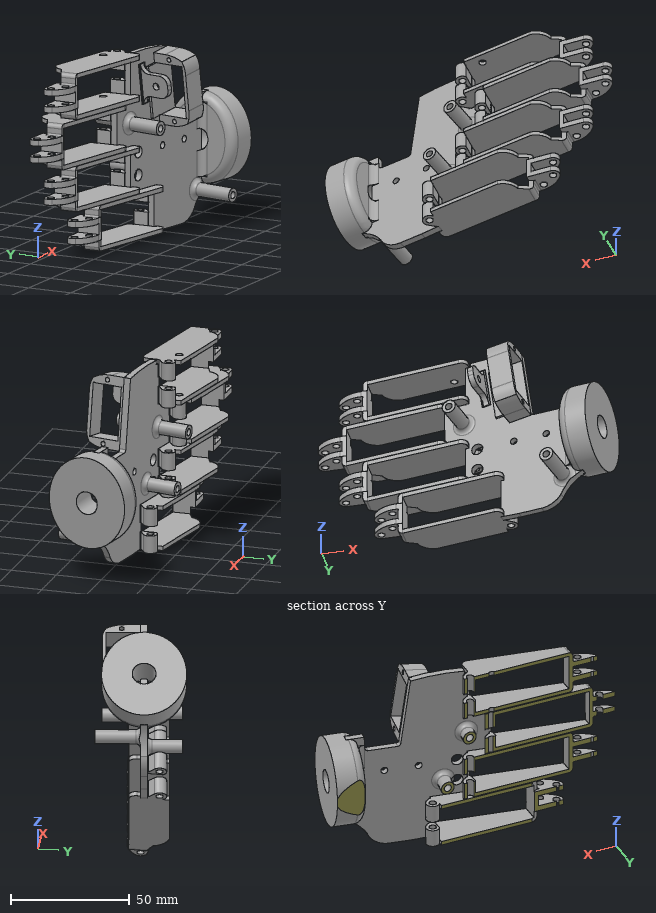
import cadquery as cq
import math

palm_angle = 10.0
sin_palm = math.sin(math.radians(palm_angle))
cos_palm = math.cos(math.radians(palm_angle))

pin_hole_diameter = 3.0

palm_height = 80.7
plate_front = 4.1
plate_thickness = 3.0
plate_back = plate_front + plate_thickness
plate_middle = plate_front + plate_thickness / 2
plate_left = 0.4
waist_z = 7.4
wrist_neck_u = 46.1
plate_top_start_u = 2.6
waist_corner_radius = 1.3
neck_lean = 0.4

top_crown_u = 9.2
heel_hollow = (48.2, -30.2)
heel_turn = (44.5, -35.6)
heel_round = (40.5, -39.2)
bottom_edge_u = (25.0, 35.6)

string_hole_diameter = 5.0
string_hole_u = 5.8
string_hole_heights = (-3.5, -13.6)
screw_hole_diameter = 2.9
screw_hole_z = -3.7
screw_hole_positions = (22.7, 37.7)

finger_pitch = 20.0
finger_slides = (0.0, -9.6, 0.0, 16.3)
finger_gap = 0.1
finger_height = finger_pitch - finger_gap
finger_wall = 2.0
finger_outer_x = -44.3
finger_inner_x = finger_outer_x + finger_wall
finger_end_x = 2.6
finger_front = -0.8
finger_back = 16.5
finger_corner_radius = 2.9
finger_edge_radius = 1.8
finger_top_z = 2 * finger_pitch
wall_back_y = 13.7
nose_foot = (-38.4, 16.5)
nose_round = (-35.6, 20.5)
nose_top_x = -31.2
side_hole_center = (-6.0, 13.3)

tab_thickness = 2.6
tab_span = 10.0
tab_end_radius = 3.0
tab_bottom_radius = 13.2
tab_bottom_y = 6.6
tab_pin_center = (-53.3, 13.7)
tab_second_hole = (-47.5, 9.8)
tab_root_radius = 0.8

lug_center = (3.7, 11.7)
lug_radius = 3.0
lug_left_x = 1.3
lug_slope = 36.0
lug_gap = 4.2

post_diameter = 6.0
post_base_radius = 2.0
posts = ((-0.1, 10.0, 16.3, -1), (46.3, -27.0, 19.4, -1), (1.8, 10.0, 14.9, 1), (12.0, -12.3, 14.9, 1))

wrist_z = -5.8
wrist_semi_v = 18.0
wrist_semi_z = 20.2
wrist_face_u = 49.5
wrist_end_u = 62.9
wrist_rim_radius = 4.0
wrist_hole_diameter = 10.0
wrist_fillet_radius = 3.0
plate_end_u = 54.6

thumb_tilt = 8.0
sin_tilt = math.sin(math.radians(thumb_tilt))
cos_tilt = math.cos(math.radians(thumb_tilt))
thumb_pin_v = -3.8

tongue_u = 9.0
tongue_z = 25.7
tongue_thickness = 2.5
tongue_width = 10.0
tongue_tip_v = -10.0
tongue_tip_radius = 4.0
tongue_flare_radius = 4.0
tongue_foot_thickness = 0.5
tongue_foot_width = 3.8

bracket_u = 18.6
bracket_z = 21.8
hoop_width = 10.0
hoop_outer = 32.0
hoop_leg = 4.4
hoop_inner = hoop_outer - 2 * hoop_leg
hoop_outer_v = -12.1
hoop_wall = 1.7
hoop_shoulder_v = -2.1
hoop_knee_v = -10.7
hoop_knee_w = 14.0
hoop_shoulder_mid = (-6.6, 15.5)
hoop_knee_mid = (-11.7, 11.6)
hoop_flat_half = 7.9
hoop_hole_diameter = 2.0
pad_reach = 5.5
pad_thickness = 1.0


def into_place(palm_shape):
    """Turn a shape from the palm frame into its final direction."""
    return palm_shape.rotate((0, 0, 0), (0, 0, 1), -palm_angle)


def world_y(x, v):
    """Y of the point with the given X that lies at V in the palm frame."""
    return (v - x * sin_palm) / cos_palm


def arc_inset(radius):
    """Inset of a quarter arc's middle point from the corner's two sides."""
    return radius * (1 - math.sqrt(0.5))


def palm_cylinder(u, z, v_start, length, diameter):
    """Cylinder along V, starting at v_start and running toward +V."""
    plane = cq.Plane(origin=(u, v_start, z), xDir=(-1, 0, 0), normal=(0, 1, 0))
    return cq.Workplane(plane).circle(diameter / 2).extrude(length)


def pin_holes(centers, diameter):
    """Cutter for holes along Z through the whole height."""
    start = cq.Workplane("XY", origin=(0, 0, -palm_height))
    return start.pushPoints(centers).circle(diameter / 2).extrude(2 * palm_height)


def tilted(shape, u, z):
    """Tilt a thumb part about V and move its origin to (u, z) on the palm."""
    return shape.rotate((0, 0, 0), (0, 1, 0), -thumb_tilt).translate((u, 0, z))


def thumb_edge_point(w):
    """Point of the plate's edge flush with the right end of the thumb hoop."""
    return (
        bracket_u + hoop_width * cos_tilt - w * sin_tilt,
        bracket_z + hoop_width * sin_tilt + w * cos_tilt,
    )


def palm_prism(v_back, thickness):
    """The palm outline extruded from v_back toward -V, with rounded waist corners."""
    half = palm_height / 2
    top_corner = thumb_edge_point(hoop_outer / 2)
    waist_drop = (bracket_z + hoop_width * sin_tilt - waist_z) / cos_tilt
    waist_corner = thumb_edge_point(-waist_drop)
    wrist_top = wrist_z + wrist_semi_z
    steps = [plate_left + slide for slide in finger_slides]
    outline = (
        cq.Workplane("XZ", origin=(0, v_back, 0))
        .moveTo(steps[0], finger_top_z - finger_wall)
        .lineTo(plate_top_start_u, finger_top_z - finger_wall)
        .lineTo(plate_top_start_u, finger_top_z)
        .threePointArc((top_crown_u, half), top_corner)
        .lineTo(*waist_corner)
        .lineTo(wrist_neck_u, waist_z)
        .lineTo(wrist_neck_u + neck_lean, wrist_top)
        .lineTo(plate_end_u, wrist_top)
        .lineTo(plate_end_u, wrist_z - wrist_semi_z)
        .threePointArc(heel_hollow, heel_turn)
        .threePointArc(heel_round, (bottom_edge_u[1], -half))
        .lineTo(bottom_edge_u[0], -half)
        .lineTo(steps[3], finger_gap - finger_top_z)
        .lineTo(steps[3], -finger_pitch)
        .lineTo(steps[2], -finger_pitch)
        .lineTo(steps[2], 0)
        .lineTo(steps[1], 0)
        .lineTo(steps[1], finger_pitch)
        .lineTo(steps[0], finger_pitch)
        .close()
    )
    corners = [waist_corner, (wrist_neck_u, waist_z)]
    prism = outline.extrude(thickness)
    for u, z in corners:
        corner_edge = cq.selectors.NearestToPointSelector((u, v_back - thickness / 2, z))
        prism = prism.edges(corner_edge).fillet(waist_corner_radius)
    return prism


def plate_holes():
    holes = cq.Workplane("XY")
    for z in string_hole_heights:
        holes = holes.add(palm_cylinder(string_hole_u, z, plate_front, plate_thickness, string_hole_diameter))
    for u in screw_hole_positions:
        holes = holes.add(palm_cylinder(u, screw_hole_z, plate_front, plate_thickness, screw_hole_diameter))
    plate_bore = (
        cq.Workplane("YZ", origin=(wrist_face_u, plate_middle, wrist_z))
        .circle(wrist_hole_diameter / 2)
        .extrude(wrist_end_u - wrist_face_u)
    )
    return holes.add(plate_bore).combine()


def post(u, z, length, side):
    """Hollow post with a concave flare at its foot, standing on one side of the plate."""
    radius = post_diameter / 2
    bore = pin_hole_diameter / 2
    foot = radius + post_base_radius
    bend = arc_inset(post_base_radius)
    profile = (
        cq.Workplane("XY")
        .moveTo(bore, 0)
        .lineTo(foot, 0)
        .threePointArc((radius + bend, bend), (radius, post_base_radius))
        .lineTo(radius, length)
        .lineTo(bore, length)
        .close()
    )
    turned = profile.revolve(360, (0, 0, 0), (0, 1, 0))
    if side < 0:
        return turned.rotate((0, 0, 0), (1, 0, 0), 180).translate((u, plate_front, z))
    return turned.translate((u, plate_back, z))


def wrist():
    disc_plane = cq.Plane(origin=(wrist_face_u, plate_middle, wrist_z), xDir=(0, 1, 0), normal=(1, 0, 0))
    disc = cq.Workplane(disc_plane).ellipse(wrist_semi_v, wrist_semi_z).extrude(wrist_end_u - wrist_face_u)
    disc = disc.faces("<X").edges().fillet(wrist_rim_radius)
    for face_v, outward in ((plate_front, -1), (plate_back, 1)):
        disc = disc.union(wrist_fillet(face_v, outward))
    bore = (
        cq.Workplane(disc_plane)
        .workplane(offset=-2 * wrist_fillet_radius)
        .circle(wrist_hole_diameter / 2)
        .extrude(wrist_end_u - wrist_face_u + 2 * wrist_fillet_radius)
    )
    return disc.cut(bore)


def wrist_fillet(face_v, outward):
    """Concave fillet in the corner between one side of the plate and the disc."""
    r = wrist_fillet_radius
    bend = arc_inset(r)
    half_length = wrist_semi_z - wrist_rim_radius
    side_offset = face_v - plate_middle
    return (
        cq.Workplane("XY", origin=(wrist_face_u, plate_middle, wrist_z - half_length))
        .lineTo(-r, 0)
        .lineTo(-r, side_offset)
        .threePointArc((-bend, side_offset + outward * bend), (0, side_offset + outward * r))
        .close()
        .extrude(2 * half_length)
    )


def tongue():
    """Flat tongue with a rounded tip, a pin hole and a flared foot."""
    half = tongue_width / 2
    flare = tongue_flare_radius
    foot_front = plate_front - tongue_foot_thickness
    bend = arc_inset(flare)
    outline = (
        cq.Workplane("YZ", origin=(-tongue_thickness / 2, 0, 0))
        .moveTo(foot_front, -half - flare)
        .threePointArc((foot_front - bend, -half - bend), (foot_front - flare, -half))
        .lineTo(tongue_tip_v, -half)
        .lineTo(tongue_tip_v, half)
        .lineTo(foot_front - flare, half)
        .threePointArc((foot_front - bend, half + bend), (foot_front, half + flare))
        .close()
        .extrude(tongue_thickness)
    )
    rounded = outline.faces("<Y").edges("|X").fillet(tongue_tip_radius)
    hole = (
        cq.Workplane("YZ", origin=(-tongue_thickness, thumb_pin_v, 0))
        .circle(pin_hole_diameter / 2)
        .extrude(2 * tongue_thickness)
    )
    foot = (
        cq.Workplane("XY", origin=(0, plate_front - tongue_foot_thickness / 2, 0))
        .box(tongue_foot_width, tongue_foot_thickness, tongue_width + 2 * flare)
    )
    return tilted(rounded.cut(hole).union(foot), tongue_u, tongue_z)


lug_tangent = (
    lug_center[0] + lug_radius * math.sin(math.radians(lug_slope)),
    lug_center[1] - lug_radius * math.cos(math.radians(lug_slope)),
)
lug_foot_y = lug_tangent[1] - (lug_tangent[0] - finger_end_x) * math.tan(math.radians(lug_slope))


def frame_side():
    """Outline of a finger frame seen along Z, without the lug."""
    return (
        cq.Workplane("XY")
        .moveTo(finger_outer_x, tab_bottom_y)
        .lineTo(finger_inner_x, world_y(finger_inner_x, finger_front))
        .lineTo(finger_end_x, world_y(finger_end_x, finger_front))
        .lineTo(finger_end_x, lug_foot_y)
        .lineTo(lug_left_x, lug_foot_y)
        .lineTo(lug_left_x, world_y(lug_left_x, finger_back))
        .lineTo(nose_top_x, world_y(nose_top_x, finger_back))
        .threePointArc(nose_round, nose_foot)
        .lineTo(finger_outer_x, wall_back_y)
        .close()
        .extrude(finger_height)
    )


def lugs():
    """Two thick lugs behind the plate, flush with the outer sides of the frame."""
    far_point = (lug_center[0] + lug_radius * sin_palm, lug_center[1] + lug_radius * cos_palm)
    left_y = lug_center[1] + math.sqrt(lug_radius**2 - (lug_center[0] - lug_left_x) ** 2)
    outline = (
        cq.Workplane("XY")
        .moveTo(lug_left_x, world_y(lug_left_x, plate_back))
        .lineTo(finger_end_x, world_y(finger_end_x, plate_back))
        .lineTo(finger_end_x, lug_foot_y)
        .lineTo(*lug_tangent)
        .threePointArc(far_point, (lug_left_x, left_y))
        .close()
        .extrude(finger_height)
    )
    gap = (
        cq.Workplane("XY", origin=(0, 0, finger_height / 2))
        .box(palm_height, palm_height, lug_gap)
    )
    return outline.cut(gap)


def hinge_tabs():
    """Two pointed tabs, joined by the part of the wall between them."""
    center_x, center_y = tab_pin_center
    bottom_center_y = tab_bottom_y + tab_bottom_radius
    reach = tab_bottom_radius - tab_end_radius
    bottom_center_x = center_x + math.sqrt(reach**2 - (bottom_center_y - center_y) ** 2)
    scale = tab_end_radius / reach
    touch = (
        center_x + (center_x - bottom_center_x) * scale,
        center_y + (center_y - bottom_center_y) * scale,
    )
    middle_angle = math.atan2(touch[1] - bottom_center_y, touch[0] - bottom_center_x) / 2 - math.pi / 4
    bottom_middle = (
        bottom_center_x + tab_bottom_radius * math.cos(middle_angle),
        bottom_center_y + tab_bottom_radius * math.sin(middle_angle),
    )
    tab_top_y = center_y + tab_end_radius
    outline = (
        cq.Workplane("XY", origin=(0, 0, (finger_height - tab_span) / 2))
        .moveTo(finger_inner_x, tab_bottom_y)
        .lineTo(bottom_center_x, tab_bottom_y)
        .threePointArc(bottom_middle, touch)
        .threePointArc((center_x - tab_end_radius, center_y), (center_x, tab_top_y))
        .lineTo(finger_inner_x, tab_top_y)
        .close()
        .extrude(tab_span)
    )
    slot = (
        cq.Workplane("XY", origin=(finger_outer_x - palm_height / 2, 0, finger_height / 2))
        .box(palm_height, palm_height, tab_span - 2 * tab_thickness)
    )
    return outline.cut(slot)


def tab_root_fillets():
    """Small concave fillets between the outer faces of the tabs and the wall."""
    r = tab_root_radius
    bend = arc_inset(r)
    fillets = cq.Workplane("XY")
    for side in (-1, 1):
        face_z = finger_height / 2 + side * tab_span / 2
        fillet = (
            cq.Workplane("XZ", origin=(finger_outer_x, wall_back_y, face_z))
            .lineTo(-r, 0)
            .threePointArc((-bend, side * bend), (0, side * r))
            .close()
            .extrude(wall_back_y - tab_bottom_y)
        )
        fillets = fillets.add(fillet)
    return fillets.combine()


def finger_frame(pin_centers):
    outer = frame_side().edges("<X and |Y").fillet(finger_edge_radius)
    opening = (
        cq.Workplane("XY", origin=(finger_inner_x, -palm_height / 2, finger_wall))
        .box(palm_height, palm_height, finger_height - 2 * finger_wall, centered=False)
    )
    frame = outer.cut(opening)
    corner_y = world_y(finger_end_x, finger_front)
    for corner_z in (finger_wall / 2, finger_height - finger_wall / 2):
        corner_edge = cq.selectors.NearestToPointSelector((finger_end_x, corner_y, corner_z))
        frame = frame.edges(corner_edge).fillet(finger_corner_radius)
    frame = frame.union(lugs()).union(hinge_tabs()).union(tab_root_fillets())
    return frame.cut(pin_holes(pin_centers, pin_hole_diameter))


def palm():
    plate = palm_prism(plate_back, plate_thickness)
    body = plate.cut(plate_holes()).union(wrist()).union(tongue())
    post_limit = palm_prism(palm_height, 2 * palm_height)
    for u, z, length, side in posts:
        body = body.union(post(u, z, length, side).intersect(post_limit))
    body = into_place(body)
    hinge_pins = [tab_pin_center, tab_second_hole, lug_center]
    plain_frame = finger_frame(hinge_pins)
    top_frame = finger_frame(hinge_pins + [side_hole_center])
    for row, slide in enumerate(finger_slides):
        base_z = finger_top_z - finger_height - row * finger_pitch
        frame = top_frame if row == 0 else plain_frame
        body = body.union(frame.translate((slide * cos_palm, -slide * sin_palm, base_z)))
    return body


def thumb_bracket():
    half = hoop_outer / 2
    lower_shoulder_mid = (hoop_shoulder_mid[0], -hoop_shoulder_mid[1])
    lower_knee_mid = (hoop_knee_mid[0], -hoop_knee_mid[1])
    hoop = (
        cq.Workplane("YZ")
        .moveTo(plate_front, half)
        .lineTo(hoop_shoulder_v, half)
        .threePointArc(hoop_shoulder_mid, (hoop_knee_v, hoop_knee_w))
        .threePointArc(hoop_knee_mid, (hoop_outer_v, hoop_flat_half))
        .lineTo(hoop_outer_v, -hoop_flat_half)
        .threePointArc(lower_knee_mid, (hoop_knee_v, -hoop_knee_w))
        .threePointArc(lower_shoulder_mid, (hoop_shoulder_v, -half))
        .lineTo(plate_front, -half)
        .close()
        .extrude(hoop_width)
    )
    inner_v = hoop_outer_v + hoop_wall
    opening = (
        cq.Workplane("XY", origin=(0, inner_v, -hoop_inner / 2))
        .box(hoop_width, plate_front - inner_v, hoop_inner, centered=False)
    )
    pad = (
        cq.Workplane("XY", origin=(-pad_reach, plate_front - pad_thickness, -hoop_inner / 2))
        .box(pad_reach + hoop_width, pad_thickness, hoop_inner, centered=False)
    )
    leg_middle = (hoop_outer - hoop_leg) / 2
    holes = (
        cq.Workplane("YZ")
        .pushPoints([(thumb_pin_v, leg_middle), (thumb_pin_v, -leg_middle)])
        .circle(hoop_hole_diameter / 2)
        .extrude(hoop_width)
    )
    return into_place(tilted(hoop.cut(opening).union(pad).cut(holes), bracket_u, bracket_z))


palm_body = palm()
bracket_body = thumb_bracket()
result = cq.Compound.makeCompound([palm_body.val(), bracket_body.val()])